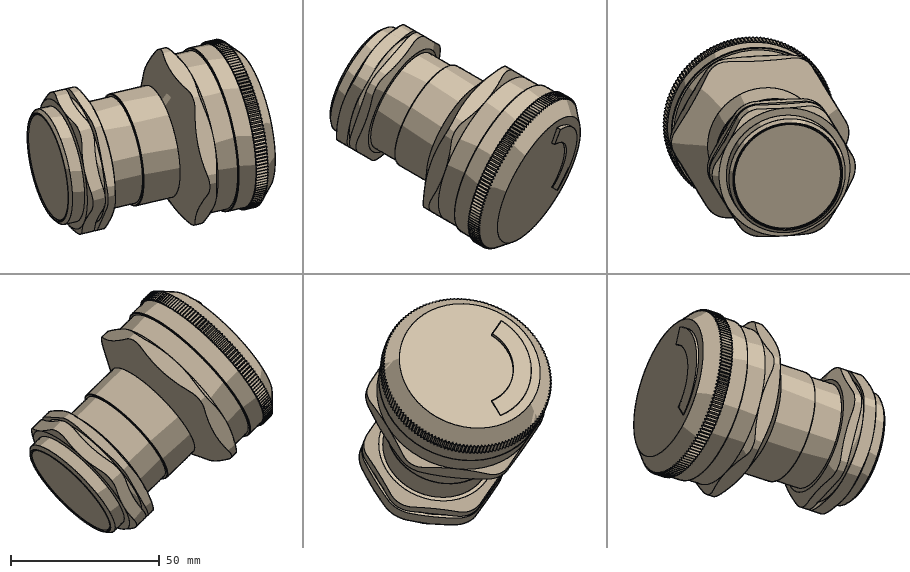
import cadquery as cq
import math


thread_radius = 40.0 / 2
front_chamfer_radius = 18.9
front_chamfer_length = 1.05
recess_mouth_radius = 18.5
recess_floor_radius = 18.2
recess_depth = 0.3

small_hex_flats = 45.0
small_hex_corners = 49.25
small_hex_flat_length = 15.0
small_hex_half_flats = small_hex_flats / 2
small_hex_reach = small_hex_corners / 2
lock_nut_front = 5.4
lock_nut_back = 11.15
lock_nut_chamfer_angle = 30
lock_nut_dish_angle = 25
body_hex_front = 12.1
body_hex_back = 16.5
body_hex_back_radius = 19.85
body_hex_chamfer_angle = 20
seal_radius = 21.8
seal_front = 8.9
seal_crown = 11.3
seal_crown_radius = 3.0

neck_radius = 37.0 / 2
collar_radius = 38.8 / 2
collar_front = 27.0
collar_back = 40.3

large_hex_flats = 55.0
large_hex_corners = 61.0
large_hex_flat_length = 22.5
large_hex_reach = large_hex_corners / 2
large_hex_back = 50.9
large_hex_chamfer_angle = 30
sleeve_radius = large_hex_flats / 2

dome_nut_radius = 56.7 / 2
dome_nut_front = 57.95
step_chamfer = 0.2
knurl_front = 64.3
knurl_root_radius = 28.5
knurl_tip_radius = 29.1
knurl_teeth = 144
dome_back = 73.0
dome_back_radius = 24.25
dome_angle = 45

total_length = 74.4
band_outer_radius = 21.05
band_inner_radius = 14.9
band_half_angle = 60
band_low_height = 0.15


def rise(radial_distance, angle):
    """Axial rise of a cone whose slope from the flat face is the given angle."""
    return radial_distance * math.tan(math.radians(angle))


def polar(radius, angle):
    """X, Z position at a radius and an angle in degrees."""
    return radius * math.cos(math.radians(angle)), radius * math.sin(math.radians(angle))


def turned(points):
    """Solid turned about the Y axis from (radius, y) points."""
    return cq.Workplane("XY").polyline(points).close().revolve(360, (0, 0, 0), (0, 1, 0))


def section(front):
    """Sketch plane across the axis, at the given Y."""
    return cq.Workplane("XZ", origin=(0, front, 0))


def rounded_hexagon(flats, corners, flat_length, front, back):
    """Hexagonal prism with rounded corners, two of them on the X axis."""
    half_flat_angle = math.degrees(math.atan(flat_length / flats))
    flat_end_radius = math.hypot(flats / 2, flat_length / 2)
    outline = section(front).moveTo(*polar(flat_end_radius, -30 + half_flat_angle))
    for corner in range(0, 360, 60):
        arc_end = polar(flat_end_radius, corner + 30 - half_flat_angle)
        next_flat_end = polar(flat_end_radius, corner + 30 + half_flat_angle)
        outline = outline.threePointArc(polar(corners / 2, corner), arc_end)
        if corner < 300:
            outline = outline.lineTo(*next_flat_end)
    return outline.close().extrude(front - back)


def turned_core():
    """All the plain round steps, from the threaded end to the dome."""
    return turned([
        (0, recess_depth),
        (recess_floor_radius, recess_depth),
        (recess_mouth_radius, 0),
        (front_chamfer_radius, 0),
        (thread_radius, front_chamfer_length),
        (thread_radius, body_hex_front),
        (neck_radius, body_hex_front),
        (neck_radius, collar_front),
        (collar_radius - step_chamfer, collar_front),
        (collar_radius, collar_front + step_chamfer),
        (collar_radius, large_hex_back),
        (sleeve_radius, large_hex_back),
        (sleeve_radius, dome_nut_front),
        (dome_nut_radius - step_chamfer, dome_nut_front),
        (dome_nut_radius, dome_nut_front + step_chamfer),
        (dome_nut_radius, knurl_front),
        (dome_back_radius, knurl_front),
        (dome_back_radius, dome_back),
        (0, dome_back),
    ])


def lock_nut():
    """Front nut: chamfered in front, dished behind so that only its corners reach the back plane."""
    prism = rounded_hexagon(
        small_hex_flats, small_hex_corners, small_hex_flat_length, lock_nut_front, lock_nut_back
    )
    corner_width = small_hex_reach - small_hex_half_flats
    dish_depth = rise(small_hex_reach - thread_radius, lock_nut_dish_angle)
    envelope = turned([
        (0, lock_nut_front),
        (small_hex_half_flats, lock_nut_front),
        (small_hex_reach, lock_nut_front + rise(corner_width, lock_nut_chamfer_angle)),
        (small_hex_reach, lock_nut_back),
        (thread_radius, lock_nut_back - dish_depth),
        (0, lock_nut_back - dish_depth),
    ])
    return prism.intersect(envelope)


def seal_radius_at(y):
    """Outer radius of the crowned sealing ring at the given Y."""
    return seal_radius - seal_crown_radius + math.sqrt(seal_crown_radius**2 - (y - seal_crown) ** 2)


def sealing_ring():
    """Crowned ring between the two small hexagons."""
    return (
        cq.Workplane("XY")
        .moveTo(0, seal_front)
        .lineTo(seal_radius_at(seal_front), seal_front)
        .threePointArc((seal_radius, seal_crown), (seal_radius_at(body_hex_front), body_hex_front))
        .lineTo(0, body_hex_front)
        .close()
        .revolve(360, (0, 0, 0), (0, 1, 0))
    )


def body_hexagon():
    """Small hexagon of the body, flat in front and chamfered behind."""
    prism = rounded_hexagon(
        small_hex_flats, small_hex_corners, small_hex_flat_length, body_hex_front, body_hex_back
    )
    chamfer_length = rise(small_hex_reach - body_hex_back_radius, body_hex_chamfer_angle)
    envelope = turned([
        (0, body_hex_front),
        (small_hex_reach, body_hex_front),
        (small_hex_reach, body_hex_back - chamfer_length),
        (body_hex_back_radius, body_hex_back),
        (0, body_hex_back),
    ])
    return prism.intersect(envelope)


def large_hexagon():
    """Large hexagon with a long cone down to the collar in front and a short chamfer behind."""
    prism = rounded_hexagon(
        large_hex_flats, large_hex_corners, large_hex_flat_length, collar_back, large_hex_back
    )
    cone_length = rise(large_hex_reach - collar_radius, large_hex_chamfer_angle)
    back_chamfer_length = rise(large_hex_reach - sleeve_radius, large_hex_chamfer_angle)
    envelope = turned([
        (0, collar_back),
        (collar_radius, collar_back),
        (large_hex_reach, collar_back + cone_length),
        (large_hex_reach, large_hex_back - back_chamfer_length),
        (sleeve_radius, large_hex_back),
        (0, large_hex_back),
    ])
    return prism.intersect(envelope)


def knurled_dome():
    """Knurled band of pointed teeth that runs out into the conical dome."""
    pitch = 360 / knurl_teeth
    outline = []
    for tooth in range(knurl_teeth):
        outline.append(polar(knurl_root_radius, tooth * pitch))
        outline.append(polar(knurl_tip_radius, (tooth + 0.5) * pitch))
    prism = section(knurl_front).polyline(outline).close().extrude(knurl_front - dome_back)
    dome_length = rise(knurl_tip_radius - dome_back_radius, dome_angle)
    envelope = turned([
        (0, knurl_front),
        (knurl_tip_radius, knurl_front),
        (knurl_tip_radius, dome_back - dome_length),
        (dome_back_radius, dome_back),
        (0, dome_back),
    ])
    return prism.intersect(envelope)


def raised_band():
    """Arc-shaped band on the -X half of the back face, rising toward +Z."""
    first_angle = 180 - band_half_angle
    last_angle = 180 + band_half_angle
    band = (
        section(knurl_front)
        .moveTo(*polar(band_outer_radius, first_angle))
        .threePointArc((-band_outer_radius, 0), polar(band_outer_radius, last_angle))
        .lineTo(*polar(band_inner_radius, last_angle))
        .threePointArc((-band_inner_radius, 0), polar(band_inner_radius, first_angle))
        .close()
        .extrude(knurl_front - total_length)
    )
    top_z = polar(band_outer_radius, band_half_angle)[1]
    tilted_wedge = (
        cq.Workplane("YZ", origin=(-band_outer_radius, 0, 0))
        .polyline([
            (knurl_front, -top_z),
            (dome_back + band_low_height, -top_z),
            (total_length, top_z),
            (knurl_front, top_z),
        ])
        .close()
        .extrude(band_outer_radius)
    )
    return band.intersect(tilted_wedge)


result = (
    turned_core()
    .union(lock_nut())
    .union(sealing_ring())
    .union(body_hexagon())
    .union(large_hexagon())
    .union(knurled_dome())
    .union(raised_band())
)